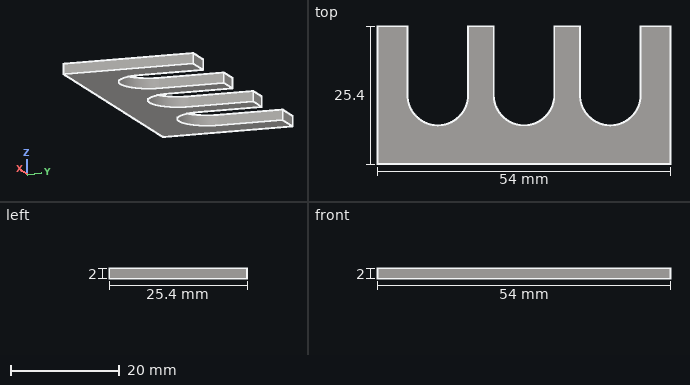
import cadquery as cq

plate_length = 53.975
plate_width = 25.4
plate_thickness = 2.0

slot_count = 3
slot_width = 11.1125
slot_pitch = 15.875
slot_floor_web = 7.14

slot_radius = slot_width / 2
back_edge_y = plate_width / 2
slot_center_y = -plate_width / 2 + slot_floor_web + slot_radius


def make_plate():
    """Flat rectangular plate, centred on the origin."""
    return cq.Workplane("XY").box(plate_length, plate_width, plate_thickness)


def make_slot(center_x):
    """Cutter for one U-shaped slot through the full plate thickness."""
    left_x = center_x - slot_radius
    right_x = center_x + slot_radius
    return (
        cq.Workplane("XY")
        .workplane(offset=-plate_thickness / 2)
        .moveTo(left_x, back_edge_y)
        .lineTo(left_x, slot_center_y)
        .threePointArc((center_x, slot_center_y - slot_radius), (right_x, slot_center_y))
        .lineTo(right_x, back_edge_y)
        .close()
        .extrude(plate_thickness)
    )


result = make_plate()
for index in range(slot_count):
    slot_x = (index - (slot_count - 1) / 2) * slot_pitch
    result = result.cut(make_slot(slot_x))